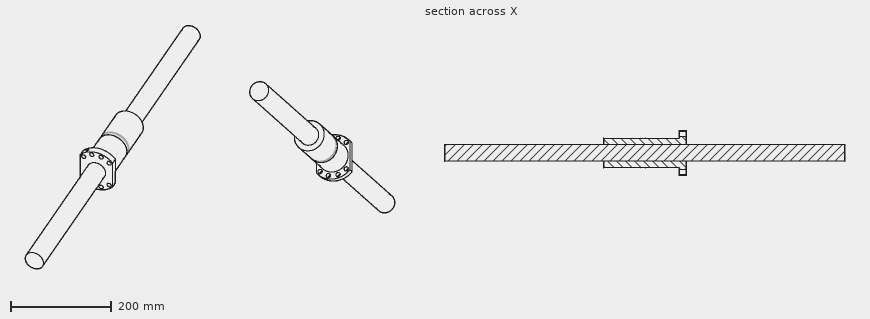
import cadquery as cq
import math

shaft_length = 800.0
shaft_diameter = 40.0

nut_length = 166.0
barrel_diameter = 63.0
front_y = -83.0
rear_y = front_y + nut_length

groove_diameter = 62.0
groove_width = 10.0
groove_rear_offset = 74.0
groove_taper_length = 2.0

flange_diameter = 93.0
flange_width = 70.0
flange_thickness = 14.0

bolt_hole_diameter = 9.0
bolt_circle_diameter = 78.0
bolt_angles = [side + step for side in (90, 270) for step in (-45, -15, 15, 45)]

grease_hole_diameter = 6.5
grease_hole_depth = 14.0
grease_hole_angle = 120.0


def cylinder(diameter, start_y, length):
    """Cylinder on the Y axis, reaching from start_y toward +Y."""
    solid = cq.Solid.makeCylinder(
        diameter / 2, length, cq.Vector(0, start_y, 0), cq.Vector(0, 1, 0)
    )
    return cq.Workplane(obj=solid)


def make_shaft():
    return cylinder(shaft_diameter, -shaft_length / 2, shaft_length)


def make_flange():
    disc = cylinder(flange_diameter, front_y, flange_thickness)
    flats = cq.Workplane().box(flange_width, 2 * nut_length, flange_diameter)
    return disc.intersect(flats)


def make_bolt_hole(angle):
    radius = bolt_circle_diameter / 2
    x = radius * math.cos(math.radians(angle))
    z = radius * math.sin(math.radians(angle))
    return cylinder(bolt_hole_diameter, front_y, flange_thickness).translate((x, 0, z))


def make_groove():
    """Ring-shaped cutter with a square front wall and a sloping rear wall."""
    end_y = rear_y - groove_rear_offset
    start_y = end_y - groove_width
    profile = [
        (groove_diameter / 2, start_y),
        (barrel_diameter / 2, start_y),
        (barrel_diameter / 2, end_y),
        (groove_diameter / 2, end_y - groove_taper_length),
    ]
    return cq.Workplane("XY").polyline(profile).close().revolve(360, (0, 0), (0, 1))


def make_grease_hole():
    outward = cq.Vector(
        math.cos(math.radians(grease_hole_angle)), 0, math.sin(math.radians(grease_hole_angle))
    )
    rim_point = cq.Vector(0, front_y + flange_thickness / 2, 0) + outward * (flange_diameter / 2)
    solid = cq.Solid.makeCylinder(
        grease_hole_diameter / 2, grease_hole_depth, rim_point, outward * -1
    )
    return cq.Workplane(obj=solid)


def make_nut():
    nut = cylinder(barrel_diameter, front_y, nut_length).union(make_flange())
    nut = nut.cut(make_groove())
    for angle in bolt_angles:
        nut = nut.cut(make_bolt_hole(angle))
    nut = nut.cut(make_grease_hole())
    return nut.cut(cylinder(shaft_diameter, front_y, nut_length))


shaft = make_shaft()
nut = make_nut()
result = cq.Compound.makeCompound([shaft.val(), *nut.vals()])